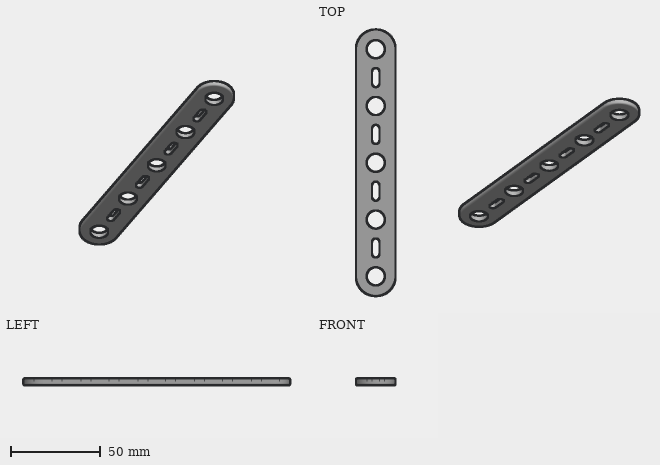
import cadquery as cq

width = 22.25
thickness = 3.95
hole_count = 5
hole_pitch = 31.64
edge_radius = 1.0

hole_diameter = 10.0
slot_length = 10.5
slot_width = 4.0

hole_span = (hole_count - 1) * hole_pitch
bar_length = hole_span + width


def centreline_points(count):
    """Points spaced one hole pitch apart along Y, centred on the origin."""
    first = -(count - 1) * hole_pitch / 2
    return [(0, first + i * hole_pitch) for i in range(count)]


def make_bar():
    """Flat bar with round ends, standing on Z = 0, with both rims rounded."""
    bar = cq.Workplane("XY").slot2D(bar_length, width, 90).extrude(thickness)
    return bar.faces("<Z or >Z").edges().fillet(edge_radius)


def make_round_holes():
    """Cutters for the through holes, one centred on each end arc."""
    return (
        cq.Workplane("XY")
        .pushPoints(centreline_points(hole_count))
        .circle(hole_diameter / 2)
        .extrude(thickness)
    )


def make_slots():
    """Cutters for the lengthwise through slots, one midway between neighbouring holes."""
    return (
        cq.Workplane("XY")
        .pushPoints(centreline_points(hole_count - 1))
        .slot2D(slot_length, slot_width, 90)
        .extrude(thickness)
    )


result = make_bar().cut(make_round_holes()).cut(make_slots())